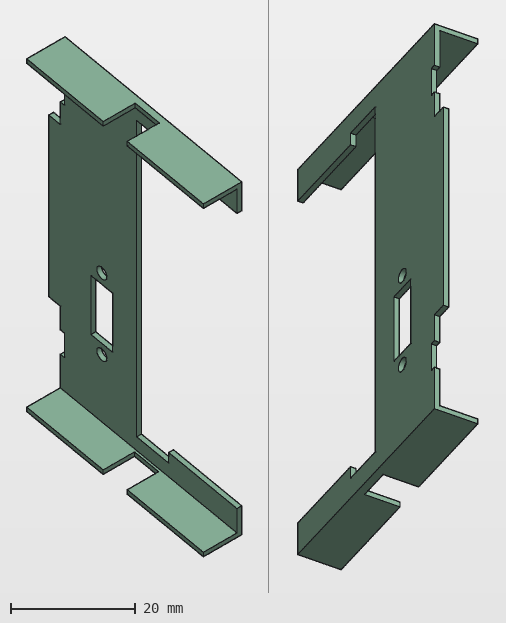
import cadquery as cq

width = 47.0
depth = 8.0
height = 78.0
thickness = 1.0

body_left = 2.9
body_right = 22.0
tab_bottom = 19.0
tab_top = 59.2

notch_depth = 1.0
notch_height = 5.4
notch_offset = 8.4

arm_root_height = 4.05
arm_end_height = 6.4
arm_step_x = 29.95

gap_width = 6.0
lower_gap_margin = 0.5
upper_gap_margin = 0.3

connector_x = 13.25
connector_z = 24.9
window_width = 5.4
window_height = 13.0
screw_spacing = 18.0
screw_diameter = 2.5


def box(x, y, z, dx, dy, dz):
    """Box with its lowest corner at (x, y, z)."""
    return cq.Workplane("XY").box(dx, dy, dz, centered=False).translate((x, y, z))


plate_front = depth - thickness
part = box(body_left, plate_front, 0, body_right - body_left, thickness, height)
part = part.union(box(0, plate_front, tab_bottom, body_left, thickness, tab_top - tab_bottom))


def end_z(offset, size, at_top):
    """Lower Z of a feature set in from the top or bottom end."""
    return height - offset - size if at_top else offset


for at_top in (False, True):
    root_z = end_z(0, arm_root_height, at_top)
    part = part.union(box(body_right, plate_front, root_z, width - body_right, thickness, arm_root_height))
    tip_z = end_z(0, arm_end_height, at_top)
    part = part.union(box(arm_step_x, plate_front, tip_z, width - arm_step_x, thickness, arm_end_height))

    flange_z = end_z(0, thickness, at_top)
    part = part.union(box(body_left, 0, flange_z, width - body_left, depth, thickness))
    gap_reach = plate_front - (upper_gap_margin if at_top else lower_gap_margin)
    part = part.cut(box(body_right, 0, flange_z, gap_width, gap_reach, thickness))

    notch_z = end_z(notch_offset, notch_height, at_top)
    part = part.cut(box(body_left, plate_front, notch_z, notch_depth, thickness, notch_height))

part = part.cut(
    box(
        connector_x - window_width / 2,
        plate_front,
        connector_z - window_height / 2,
        window_width,
        thickness,
        window_height,
    )
)

for side in (-1, 1):
    screw_hole = (
        cq.Workplane("XZ", origin=(connector_x, depth, connector_z + side * screw_spacing / 2))
        .circle(screw_diameter / 2)
        .extrude(thickness)
    )
    part = part.cut(screw_hole)

result = part.clean()